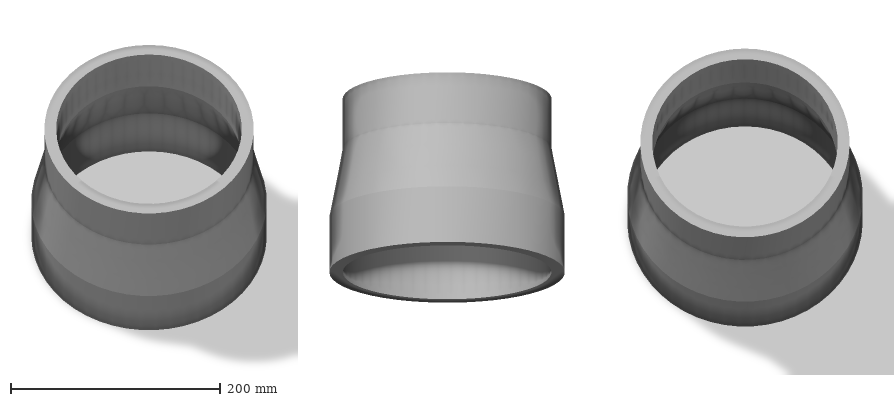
import cadquery as cq
import math

large_outer_diameter = 225.0
small_outer_diameter = 200.0
large_wall = 12.8
small_wall = 11.4

large_spigot_length = 55.0
cone_length = 66.0
small_spigot_length = 50.0

large_outer_radius = large_outer_diameter / 2
small_outer_radius = small_outer_diameter / 2
large_bore_radius = large_outer_radius - large_wall
small_bore_radius = small_outer_radius - small_wall

outer_cone_start = large_spigot_length
outer_cone_end = outer_cone_start + cone_length
total_length = outer_cone_end + small_spigot_length

cone_angle = math.atan2(large_outer_radius - small_outer_radius, cone_length)
bore_cone_length = (large_bore_radius - small_bore_radius) / math.tan(cone_angle)
bore_cone_end = outer_cone_end - small_wall * math.tan(cone_angle / 2)
bore_cone_start = bore_cone_end - bore_cone_length


def stepped_body(large_radius, small_radius, cone_start, cone_end):
    """Solid of revolution about Z: large cylinder, cone, small cylinder."""
    half_profile = (
        cq.Workplane("XZ")
        .moveTo(0, 0)
        .lineTo(large_radius, 0)
        .lineTo(large_radius, cone_start)
        .lineTo(small_radius, cone_end)
        .lineTo(small_radius, total_length)
        .lineTo(0, total_length)
        .close()
    )
    return half_profile.revolve(360, (0, 0, 0), (0, 1, 0))


outside = stepped_body(large_outer_radius, small_outer_radius, outer_cone_start, outer_cone_end)
bore = stepped_body(large_bore_radius, small_bore_radius, bore_cone_start, bore_cone_end)

result = outside.cut(bore)